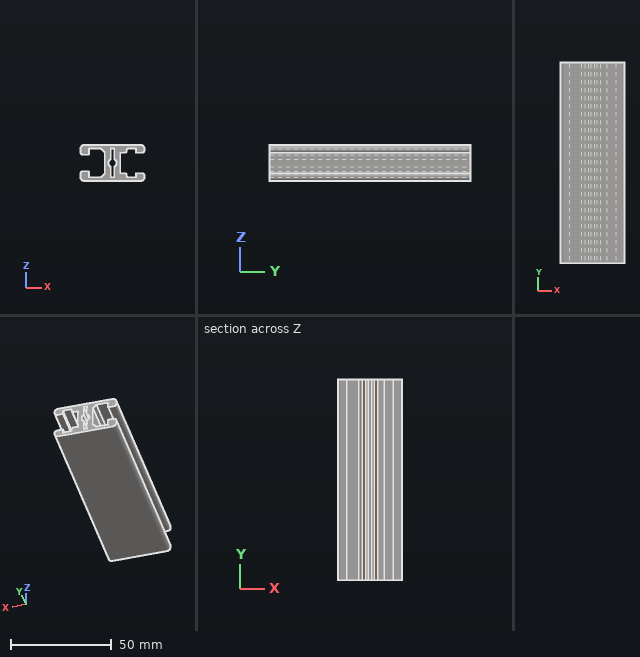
import cadquery as cq

LENGTH = 100.0
WIDTH = 32.0
HEIGHT = 18.0

FLANGE = 1.9
OUTER_RADIUS = 2.0
WEB_HALF_WIDTH = 3.9
LIP_WIDTH = 4.4

LEFT_MOUTH = 8.0
LEFT_LIP_OUTER_RADIUS = 1.5
LEFT_LIP_INNER_RADIUS = 0.8
LEFT_CHAMFER = 1.8

RIGHT_MOUTH = 10.0
RIGHT_LIP_OUTER_RADIUS = 1.5
STEP_X = 7.1
STEP_EDGE_RADIUS = 1.0
STEP_ROOT_RADIUS = 0.8

BORE_DIAMETER = 4.0
SLOT_WIDTH = 1.6

INNER_HEIGHT = HEIGHT - 2 * FLANGE
HALF_WIDTH = WIDTH / 2
LIP_X = HALF_WIDTH - LIP_WIDTH


def bar(x_start, x_end, height):
    """Full-length block centred on Y and Z, spanning two X positions."""
    block = cq.Workplane("XY").box(x_end - x_start, LENGTH, height)
    return block.translate(((x_start + x_end) / 2, 0, 0))


def long_edges(body, x, height):
    """The upper and lower lengthwise edges at X = x and Z = +-height / 2."""
    tolerance = 0.01

    def corner(z):
        return cq.selectors.BoxSelector(
            (x - tolerance, -LENGTH, z - tolerance),
            (x + tolerance, LENGTH, z + tolerance),
        )

    return body.edges("|Y").edges(corner(-height / 2) + corner(height / 2))


def left_channel():
    chamber = bar(-LIP_X, -WEB_HALF_WIDTH, INNER_HEIGHT)
    chamber = chamber.edges("|Y and >X").chamfer(LEFT_CHAMFER)
    return chamber.union(bar(-HALF_WIDTH, -LIP_X, LEFT_MOUTH))


def right_channel():
    mouth = bar(WEB_HALF_WIDTH, HALF_WIDTH, RIGHT_MOUTH)
    return mouth.union(bar(STEP_X, LIP_X, INNER_HEIGHT))


def web_hollow():
    bore = cq.Workplane("XZ").circle(BORE_DIAMETER / 2).extrude(LENGTH / 2, both=True)
    return bore.union(bar(-SLOT_WIDTH / 2, SLOT_WIDTH / 2, INNER_HEIGHT))


profile = bar(-HALF_WIDTH, HALF_WIDTH, HEIGHT).edges("|Y").fillet(OUTER_RADIUS)
profile = profile.cut(left_channel()).cut(right_channel()).cut(web_hollow())

ROUNDED_EDGES = (
    (-HALF_WIDTH, LEFT_MOUTH, LEFT_LIP_OUTER_RADIUS),
    (-LIP_X, LEFT_MOUTH, LEFT_LIP_INNER_RADIUS),
    (HALF_WIDTH, RIGHT_MOUTH, RIGHT_LIP_OUTER_RADIUS),
    (STEP_X, RIGHT_MOUTH, STEP_EDGE_RADIUS),
    (STEP_X, INNER_HEIGHT, STEP_ROOT_RADIUS),
)
for edge_x, edge_height, radius in ROUNDED_EDGES:
    profile = long_edges(profile, edge_x, edge_height).fillet(radius)

result = profile